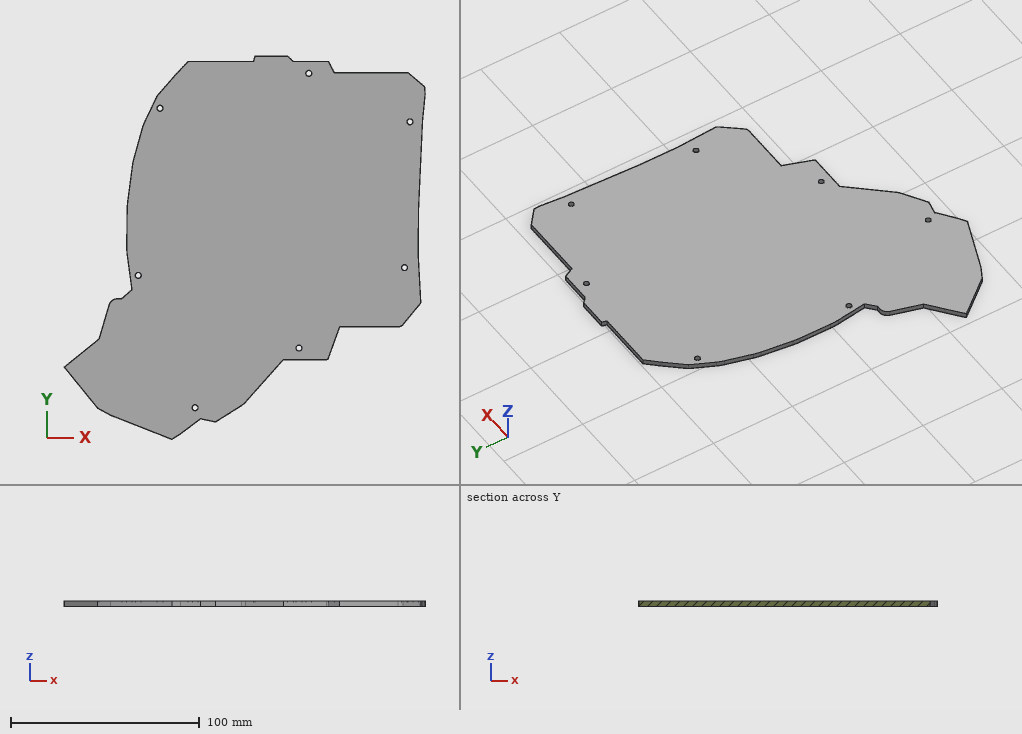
import cadquery as cq

length_x = 191.2
length_y = 203.04
thickness = 3.0
hole_diameter = 3.0

top_edge_y = 200.2
right_top_y = 194.3
right_bottom_y = 59.6
lower_edge_y = 42.2

bottom_side = [
    (57.0, 0.0, 0),
    (61.7, 3.0, 0),
    (72.2, 10.9, 0),
    (80.1, 9.2, 0),
    (95.0, 18.6, 10),
    (116.0, lower_edge_y, 0),
    (139.6, lower_edge_y, 1),
    (145.9, right_bottom_y, 0),
    (178.4, right_bottom_y, 3.5),
]
right_side = [
    (188.9, 72.3, 2),
    (187.5, 98.0, 0),
    (187.7, 122.0, 0),
    (189.8, 168.5, 0),
    (length_x, 183.0, 0),
    (190.9, 186.8, 0),
]
top_side = [
    (182.1, right_top_y, 0),
    (143.0, right_top_y, 0),
    (140.0, top_edge_y, 0),
    (121.3, top_edge_y, 0),
    (118.3, length_y, 0),
    (101.0, length_y, 0),
    (100.2, top_edge_y, 0),
    (65.6, top_edge_y, 0),
]
left_side = [
    (58.9, 193.1, 0),
    (49.2, 182.0, 0),
    (41.8, 166.6, 25),
    (36.3, 146.8, 30),
    (33.3, 124.0, 35),
    (33.0, 100.0, 38),
    (35.8, 79.3, 0),
]
lower_left_side = [
    (30.5, 74.6, 0),
    (24.7, 74.6, 5),
    (18.4, 53.2, 0),
    (9.2, 45.8, 0),
    (0.0, 38.3, 0),
    (17.7, 16.5, 0),
    (24.5, 12.8, 0),
]
outline_corners = bottom_side + right_side + top_side + left_side + lower_left_side

hole_centers = [
    (129.5, 193.9),
    (50.7, 175.4),
    (183.1, 168.2),
    (180.2, 91.0),
    (39.2, 86.9),
    (124.3, 48.4),
    (69.3, 16.8),
]


def make_plate():
    points = [(x, y) for x, y, radius in outline_corners]
    return cq.Workplane("XY").polyline(points).close().extrude(thickness)


def round_corner(plate, x, y, radius):
    nearest_edge = cq.selectors.NearestToPointSelector((x, y, thickness / 2))
    return plate.edges("|Z").edges(nearest_edge).fillet(radius)


def drill_holes(plate):
    pins = cq.Workplane("XY").pushPoints(hole_centers).circle(hole_diameter / 2)
    return plate.cut(pins.extrude(thickness))


plate = make_plate()
for x, y, radius in outline_corners:
    if radius > 0:
        plate = round_corner(plate, x, y, radius)

result = drill_holes(plate)